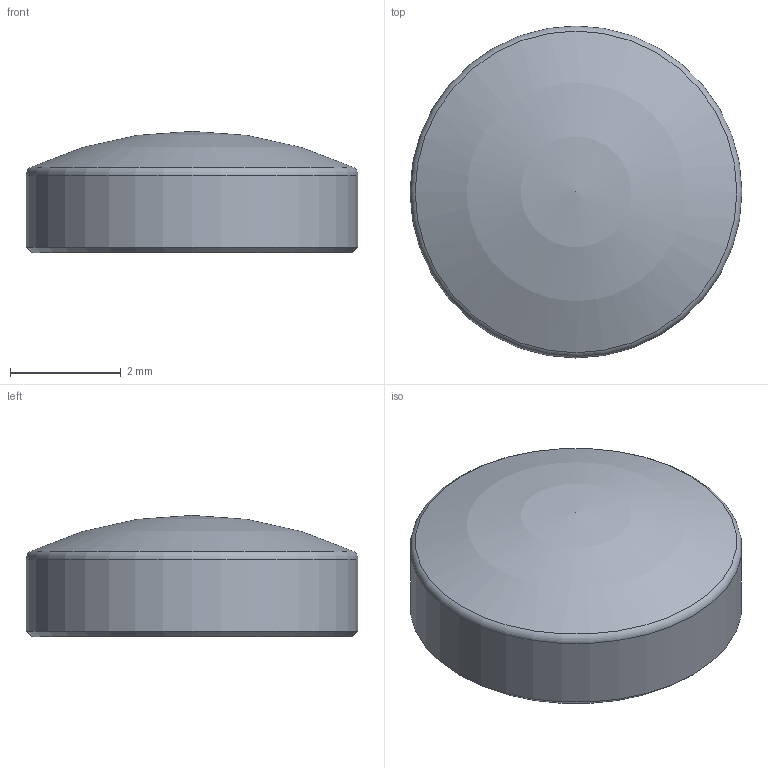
import math

import cadquery as cq

diameter = 6.0
total_height = 2.19
rim_height = 1.5
bottom_chamfer = 0.1
rim_fillet = 0.16

radius = diameter / 2
dome_rise = total_height - rim_height
dome_radius = (radius**2 + dome_rise**2) / (2 * dome_rise)
dome_center_z = total_height - dome_radius

fillet_center_x = radius - rim_fillet
fillet_center_z = dome_center_z + math.sqrt((dome_radius - rim_fillet) ** 2 - fillet_center_x**2)
tangent_angle = math.atan2(fillet_center_z - dome_center_z, fillet_center_x)


def point_on_arc(center_x, center_z, arc_radius, angle):
    """Profile point at the given elevation angle on an arc."""
    return (center_x + arc_radius * math.cos(angle), center_z + arc_radius * math.sin(angle))


def domed_disc():
    """Half profile in the XZ plane, revolved about the Z axis."""
    fillet_middle = point_on_arc(fillet_center_x, fillet_center_z, rim_fillet, tangent_angle / 2)
    dome_edge = point_on_arc(0, dome_center_z, dome_radius, tangent_angle)
    dome_middle = point_on_arc(0, dome_center_z, dome_radius, (tangent_angle + math.pi / 2) / 2)
    profile = (
        cq.Workplane("XZ")
        .moveTo(0, 0)
        .lineTo(radius - bottom_chamfer, 0)
        .lineTo(radius, bottom_chamfer)
        .lineTo(radius, fillet_center_z)
        .threePointArc(fillet_middle, dome_edge)
        .threePointArc(dome_middle, (0, total_height))
        .close()
    )
    return profile.revolve(360, (0, 0, 0), (0, 1, 0))


result = domed_disc()